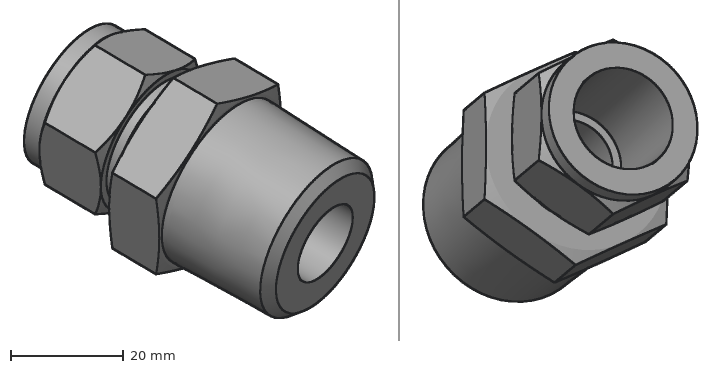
import cadquery as cq
import math


overall_length = 57.15
hexagon_sides = 6

nut_across_flats = 28.575
nut_collar_length = 3.5
nut_end = 17.5
nut_chamfer_angle = 30.0

neck_ring_diameter = 25.4
neck_ring_end = 19.5
neck_diameter = 24.0

body_across_flats = 34.925
body_start = 21.9
body_length = 11.4
body_end = body_start + body_length
body_chamfer_angle = 15.0

thread_diameter = 33.5
thread_runout_length = 1.25
thread_taper = 1.0 / 16.0
thread_end_chamfer = 2.0

tube_bore_diameter = 19.05
tube_bore_depth = 24.4
through_bore_diameter = 15.75


def cylinder(start, end, diameter):
    """Round section along X from start to end."""
    return cq.Workplane("YZ", origin=(start, 0, 0)).circle(diameter / 2).extrude(end - start)


def revolve_about_x(points):
    """Turn an (x, radius) outline about the X axis."""
    return cq.Workplane("XZ").polyline(points).close().revolve(360, (0, 0, 0), (1, 0, 0))


def chamfered_hexagon(start, end, across_flats, chamfer_angle):
    """Hexagon with corners on +Z and -Z, its corners turned to a cone at both ends."""
    flat_radius = across_flats / 2
    corner_radius = flat_radius / math.cos(math.pi / hexagon_sides)
    chamfer_length = (corner_radius - flat_radius) * math.tan(math.radians(chamfer_angle))
    hexagon = (
        cq.Workplane("YZ", origin=(start, 0, 0))
        .transformed(rotate=(0, 0, 90))
        .polygon(hexagon_sides, 2 * corner_radius)
        .extrude(end - start)
    )
    corner_envelope = revolve_about_x([
        (start, 0),
        (start, flat_radius),
        (start + chamfer_length, corner_radius),
        (end - chamfer_length, corner_radius),
        (end, flat_radius),
        (end, 0),
    ])
    return hexagon.intersect(corner_envelope)


def thread_envelope():
    """Short cylindrical runout, shallow taper and 45 degree end chamfer."""
    taper_start = body_end + thread_runout_length
    taper_end = overall_length - thread_end_chamfer
    large_radius = thread_diameter / 2
    small_radius = large_radius - (taper_end - taper_start) * thread_taper / 2
    return revolve_about_x([
        (body_end, 0),
        (body_end, large_radius),
        (taper_start, large_radius),
        (taper_end, small_radius),
        (overall_length, small_radius - thread_end_chamfer),
        (overall_length, 0),
    ])


nut_collar = cylinder(0, nut_collar_length, nut_across_flats)
nut = chamfered_hexagon(nut_collar_length, nut_end, nut_across_flats, nut_chamfer_angle)
neck_ring = cylinder(nut_end, neck_ring_end, neck_ring_diameter)
neck = cylinder(neck_ring_end, body_start, neck_diameter)
body = chamfered_hexagon(body_start, body_end, body_across_flats, body_chamfer_angle)

through_bore = cylinder(0, overall_length, through_bore_diameter)
tube_bore = cylinder(0, tube_bore_depth, tube_bore_diameter)

result = (
    nut_collar.union(nut)
    .union(neck_ring)
    .union(neck)
    .union(body)
    .union(thread_envelope())
    .cut(through_bore)
    .cut(tube_bore)
)